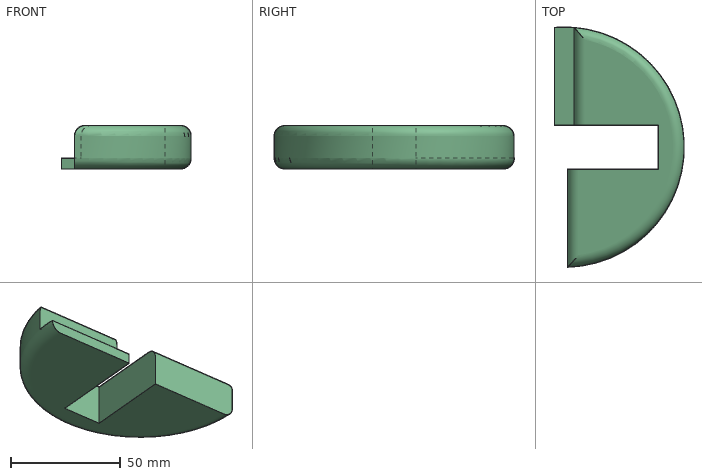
import cadquery as cq

disc_radius = 55.0
thickness = 20.0
edge_round = 5.0

plain_face_x = 1.5
ledge_face_x = 4.5

ledge_tip_x = -4.5
ledge_height = 5.0

slot_width = 20.0
slot_end_x = 43.0


def box_between(x_range, y_range, z_range):
    """Box filling the given X, Y and Z ranges."""
    (x0, x1), (y0, y1), (z0, z1) = x_range, y_range, z_range
    block = cq.Workplane("XY").box(x1 - x0, y1 - y0, z1 - z0, centered=False)
    return block.translate((x0, y0, z0))


def rounded_disc():
    """Full disc with its top and bottom rims rounded."""
    return cq.Workplane("XY").circle(disc_radius).extrude(thickness).edges().fillet(edge_round)


def half_block(face_x, y_range):
    """Part of the disc beyond face_x, with the top edge of its flat face rounded."""
    block = box_between((face_x, disc_radius), y_range, (0, thickness))
    block = block.edges("|Y and <X and >Z").fillet(edge_round)
    return rounded_disc().intersect(block)


def ledge():
    """Low strip along the foot of the +Y half, its outer end following the rounded disc rim."""
    strip = box_between((ledge_tip_x, ledge_face_x), (0, disc_radius), (0, ledge_height))
    return rounded_disc().intersect(strip)


def slot():
    """Square-ended slot, open at the flat side."""
    return box_between((ledge_tip_x, slot_end_x), (-slot_width / 2, slot_width / 2), (0, thickness))


plain_half = half_block(plain_face_x, (-disc_radius, 0))
ledge_half = half_block(ledge_face_x, (0, disc_radius))
result = plain_half.union(ledge_half).union(ledge()).cut(slot())